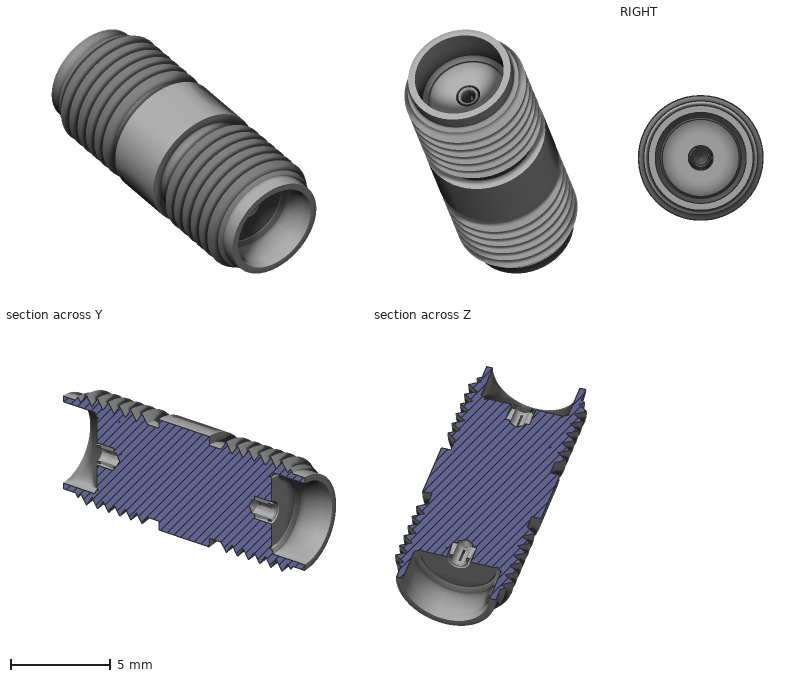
import cadquery as cq

length = 15.2
half_length = length / 2
collar_length = 3.18
outer_radius = 3.15
barrel_radius = 2.65

ridge_count = 6
pitch = 0.7
thread_relief = 0.71
root_radius = 2.6

starter_radius = 2.87
starter_inner_run = 0.18
starter_outer_run = 0.15

socket_radius = 2.3
socket_depth = 1.96
lip_radius = 2.05
lip_taper = 0.14
insert_radius = 1.95
insert_chamfer = lip_radius - insert_radius
face_x = half_length - socket_depth - lip_taper

contact_root_radius = 0.62
contact_tip_radius = 0.5
contact_taper = 1.06
bore_mouth_radius = 0.45
bore_radius = 0.38
bore_chamfer = bore_mouth_radius - bore_radius
bore_depth = 1.22
drill_tip_depth = 0.21

window_width = 0.14
window_start = 0.25
window_length = contact_taper - window_start


def barrel_outline():
    """Points from the edge of the collar to the rim at the +X end."""
    collar_end = collar_length / 2
    thread_start = collar_end + thread_relief
    points = [
        (collar_end, outer_radius),
        (collar_end, barrel_radius),
        (thread_start, barrel_radius),
    ]
    for ridge in range(ridge_count):
        ridge_start = thread_start + ridge * pitch
        points.append((ridge_start + pitch / 2, outer_radius))
        points.append((ridge_start + pitch, root_radius))
    starter_crest = thread_start + ridge_count * pitch + starter_inner_run
    points.append((starter_crest, starter_radius))
    points.append((starter_crest + starter_outer_run, barrel_radius))
    points.append((half_length, barrel_radius))
    return points


def socket_outline():
    """Points from the rim of the +X socket inwards to the axis."""
    bore_end = face_x - bore_depth
    return [
        (half_length, socket_radius),
        (half_length - socket_depth, socket_radius),
        (face_x, lip_radius),
        (face_x - insert_chamfer, lip_radius),
        (face_x, insert_radius),
        (face_x, contact_root_radius),
        (face_x - contact_taper, contact_root_radius),
        (face_x, contact_tip_radius),
        (face_x, bore_mouth_radius),
        (face_x - bore_chamfer, bore_radius),
        (bore_end, bore_radius),
        (bore_end - drill_tip_depth, 0),
    ]


def make_body():
    """Revolve the outline, which is the same at both ends, about the X axis."""
    right_half = barrel_outline() + socket_outline()
    left_half = [(-x, radius) for x, radius in reversed(right_half)]
    return (
        cq.Workplane("XZ")
        .polyline(left_half + right_half)
        .close()
        .revolve(360, (0, 0, 0), (1, 0, 0))
    )


def contact_windows():
    """Crossed slots that open the wall of both contacts on four sides."""
    span = 2 * contact_root_radius
    centre_x = face_x - window_start - window_length / 2
    across_y = cq.Workplane("XY").box(window_length, span, window_width)
    across_z = cq.Workplane("XY").box(window_length, window_width, span)
    contact = cq.Workplane("YZ").circle(contact_root_radius).extrude(window_length / 2, both=True)
    cross = across_y.union(across_z).intersect(contact).translate((centre_x, 0, 0))
    return cross.union(cross.mirror("YZ"))


result = make_body().cut(contact_windows())